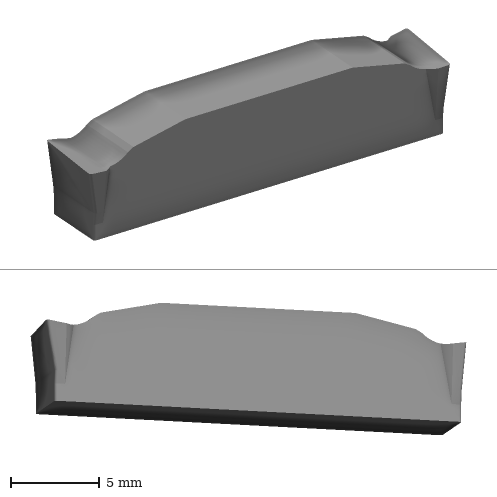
import cadquery as cq
import math

shank_width = 4.15
shank_length = 23.9
shank_height = 5.95
corner_radius = 0.15
crown_half_length = 5.7
slope_end = (9.26, 5.2)
groove_start = (9.65, 4.98)

rake_start = (11.35, 4.43)
edge_z = 4.58
end_y = 12.52

edge_half_width = 2.53
neck_half_width = 2.43
long_corner_y = end_y + 0.03
short_corner_y = 12.12
side_root_z = 1.0
end_root_z = 1.75
root_overlap_x = 0.38
long_side_neck_slope = 1.5
short_side_neck_slope = 1.9

shank_half_width = shank_width / 2
shank_half_length = shank_length / 2


def bar(width, half_length):
    """Bar along Y, topped by the crown, slopes, chip grooves and rake faces."""
    rake_slope = (edge_z - rake_start[1]) / (end_y - rake_start[0])
    end_z = rake_start[1] + rake_slope * (half_length - rake_start[0])
    half = (
        cq.Workplane("YZ")
        .moveTo(0, 0)
        .lineTo(half_length, 0)
        .lineTo(half_length, end_z)
        .lineTo(*rake_start)
        .tangentArcPoint(groove_start, relative=False)
        .lineTo(*slope_end)
        .lineTo(crown_half_length, shank_height)
        .lineTo(0, shank_height)
        .close()
        .extrude(width / 2, both=True)
    )
    return half.union(half.mirror("XZ"))


def between(start, end, fraction):
    """Value at the given fraction of the way from start to end."""
    return start + (end - start) * fraction


def toward(point, target, distance):
    """Point at the given distance from one point towards another."""
    fraction = distance / math.dist(point, target)
    return tuple(between(a, b, fraction) for a, b in zip(point, target))


def rounded_corner(before, corner, after):
    """Start, middle and end of the arc that rounds a corner."""
    leg_before = toward(corner, before, 0.25)
    leg_after = toward(corner, after, 0.25)
    half_angle = math.asin(math.dist(leg_before, leg_after) / 0.5)
    tangent_length = corner_radius / math.tan(half_angle)
    middle_distance = corner_radius / math.sin(half_angle) - corner_radius
    bisector = tuple((a + b) / 2 for a, b in zip(leg_before, leg_after))
    return (
        toward(corner, before, tangent_length),
        toward(corner, bisector, middle_distance),
        toward(corner, after, tangent_length),
    )


def head_section(z):
    """Horizontal section of the +Y head at height z."""
    side_flare = (z - side_root_z) / (edge_z - side_root_z)
    end_flare = max(0, (z - end_root_z) / (edge_z - end_root_z))
    neck_x = between(shank_half_width, neck_half_width, side_flare)
    edge_x = between(shank_half_width, edge_half_width, side_flare)
    root_x = neck_x - root_overlap_x
    neck_y = rake_start[0]
    right_root = (root_x, neck_y - root_overlap_x * short_side_neck_slope)
    left_root = (-root_x, neck_y - root_overlap_x * long_side_neck_slope)
    right_neck = (neck_x, neck_y)
    left_neck = (-neck_x, neck_y)
    right_corner = (edge_x, between(shank_half_length, short_corner_y, end_flare))
    left_corner = (-edge_x, between(shank_half_length, long_corner_y, end_flare))
    right_arc = rounded_corner(right_neck, right_corner, left_corner)
    left_arc = rounded_corner(right_corner, left_corner, left_neck)
    outline = (
        cq.Workplane("XY", origin=(0, 0, z))
        .moveTo(*right_root)
        .lineTo(*right_neck)
        .lineTo(*right_arc[0])
        .threePointArc(*right_arc[1:])
        .lineTo(*left_arc[0])
        .threePointArc(*left_arc[1:])
        .lineTo(*left_neck)
        .lineTo(*left_root)
        .close()
    )
    return outline.val()


def head_block():
    """Flared +Y head, its top cut by the chip groove and rake face."""
    sections = [head_section(z) for z in (side_root_z, end_root_z, edge_z)]
    lower = cq.Workplane(cq.Solid.makeLoft(sections[:2], True))
    upper = cq.Workplane(cq.Solid.makeLoft(sections[1:], True))
    return lower.union(upper).intersect(bar(2 * edge_half_width, end_y))


shank = bar(shank_width, shank_half_length)
shank = shank.edges("|Z").edges("<Y or >Y").fillet(corner_radius)

head = head_block()
opposite_head = head.rotate((0, 0, 0), (0, 0, 1), 180)
result = shank.union(head).union(opposite_head)